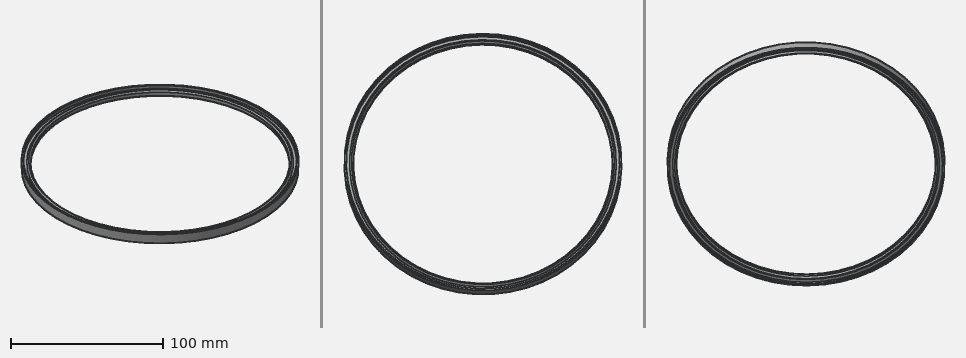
import cadquery as cq

outer_radius = 91.0
inner_radius = 85.0
height = 7.0

band_thickness = 1.3
web_drop = 2.2

ridge_foot_radius = 87.5
ridge_crest_radius = 86.3
ridge_rise = ridge_foot_radius - ridge_crest_radius
inner_flank_drop = ridge_crest_radius - inner_radius

half_height = height / 2
web_level = half_height - web_drop
crest_level = web_level + ridge_rise
lip_level = crest_level - inner_flank_drop
band_inner_radius = outer_radius - band_thickness

upper_half = [
    (outer_radius, half_height),
    (band_inner_radius, half_height),
    (band_inner_radius, web_level),
    (ridge_foot_radius, web_level),
    (ridge_crest_radius, crest_level),
    (inner_radius, lip_level),
]

lower_half = [(radius, -level) for radius, level in reversed(upper_half)]

ring = cq.Workplane("XZ").polyline(upper_half + lower_half).close().revolve(360, (0, 0, 0), (0, 1, 0))
result = ring.translate((0, 0, half_height))